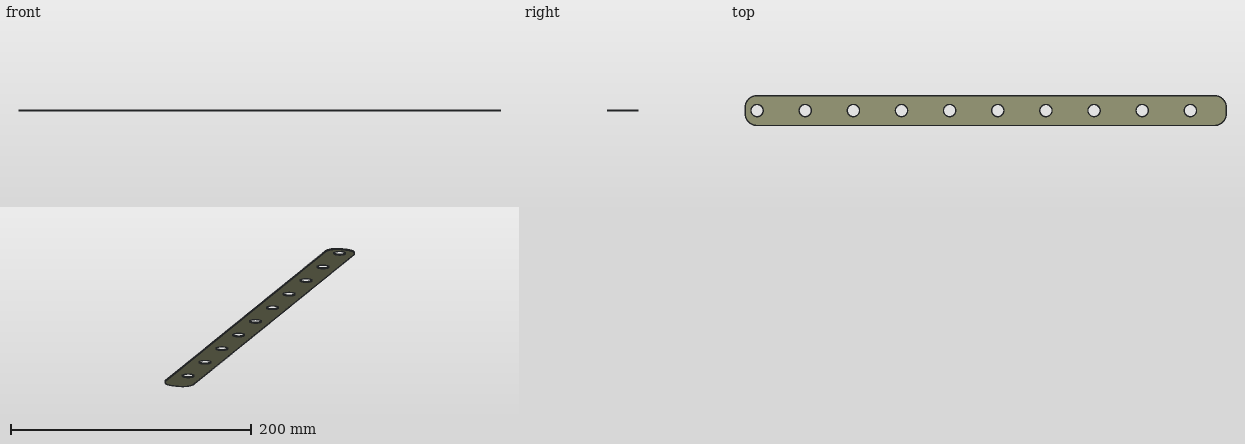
import cadquery as cq

length = 400.0
width = 25.0
thickness = 1.0
corner_radius = 10.0

hole_diameter = 10.0
hole_count = 10
hole_pitch = length / hole_count
first_hole_x = 10.0


def make_strip():
    """Flat strip with its -X end at X = 0, centred on Y, with rounded corners."""
    strip = cq.Workplane("XY").box(length, width, thickness, centered=(False, True, False))
    return strip.edges("|Z").fillet(corner_radius)


def make_hole_cutters():
    """Evenly spaced round cutters along the strip's centre line."""
    centres = [(first_hole_x + i * hole_pitch, 0) for i in range(hole_count)]
    return cq.Workplane("XY").pushPoints(centres).circle(hole_diameter / 2).extrude(thickness)


result = make_strip().cut(make_hole_cutters())